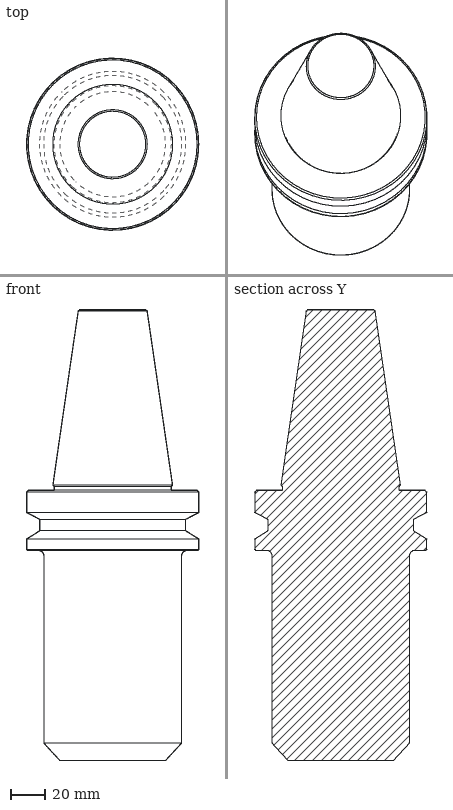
import cadquery as cq

total_height = 261.8

body_radius = 40.0
nose_radius = 30.5
nose_chamfer_height = 10.2

flange_radius = 50.0
flange_bottom = 122.0
flange_top = 157.0
flange_upper_edge_chamfer = 1.0
flange_lower_edge_chamfer = 0.5
underside_fillet = 3.1

groove_radius = 42.5
groove_bottom = 128.8
groove_floor_bottom = 133.5
groove_floor_top = 140.0
groove_top = 144.0

gauge_radius = 34.8
gauge_height = 160.0
neck_radius = 34.0
taper_on_diameter = 7 / 24
tip_edge_chamfer = 0.8
tip_radius = gauge_radius - (total_height - gauge_height) * taper_on_diameter / 2
tip_edge_flare = tip_edge_chamfer * taper_on_diameter / 2

profile = (
    cq.Workplane("XZ")
    .lineTo(nose_radius, 0)
    .lineTo(body_radius, nose_chamfer_height)
    .lineTo(body_radius, flange_bottom - underside_fillet)
    .radiusArc((body_radius + underside_fillet, flange_bottom), underside_fillet)
    .lineTo(flange_radius - flange_lower_edge_chamfer, flange_bottom)
    .lineTo(flange_radius, flange_bottom + flange_lower_edge_chamfer)
    .lineTo(flange_radius, groove_bottom)
    .lineTo(groove_radius, groove_floor_bottom)
    .lineTo(groove_radius, groove_floor_top)
    .lineTo(flange_radius, groove_top)
    .lineTo(flange_radius, flange_top - flange_upper_edge_chamfer)
    .lineTo(flange_radius - flange_upper_edge_chamfer, flange_top)
    .lineTo(neck_radius, flange_top)
    .lineTo(neck_radius, gauge_height - (gauge_radius - neck_radius))
    .lineTo(gauge_radius, gauge_height)
    .lineTo(tip_radius + tip_edge_flare, total_height - tip_edge_chamfer)
    .lineTo(tip_radius - tip_edge_chamfer, total_height)
    .lineTo(0, total_height)
    .close()
)

result = profile.revolve(360, (0, 0, 0), (0, 1, 0))